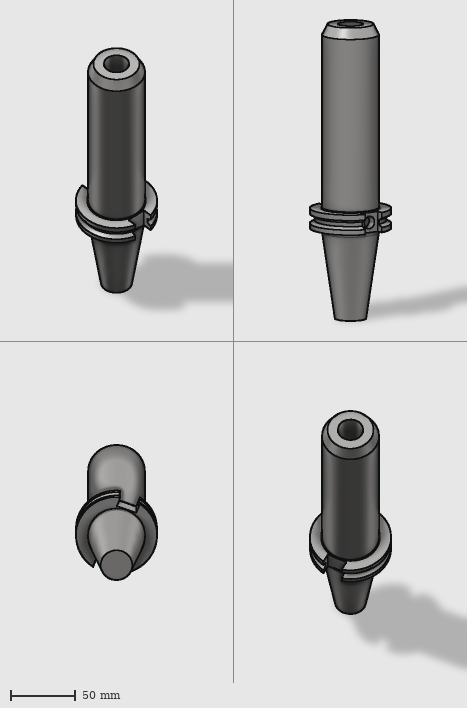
import cadquery as cq
import math

total_height = 233.4
taper_height = 68.4
flange_bottom = 71.6
flange_top = 87.5
nose_chamfer_height = 8.5

gauge_diameter = 44.5
body_diameter = 44.5
nose_diameter = 36.0
root_diameter = 46.0
flange_diameter = 63.5
groove_diameter = 56.0
taper_ratio = 7 / 24

root_height = 0.7

groove_center = 79.3
groove_floor_width = 3.3
groove_wall_angle = math.radians(30)

slot_width = 16.0
left_slot_floor = 25.0
right_slot_floor = 22.9

bore_diameter = 19.5
bore_depth = 70.0
dimple_diameter = 9.8
dimple_depth = 7.0


def make_holder_body():
    """Revolve taper, grooved flange and cylindrical body as one profile."""
    gauge_radius = gauge_diameter / 2
    body_radius = body_diameter / 2
    flange_radius = flange_diameter / 2
    groove_radius = groove_diameter / 2
    small_end_radius = gauge_radius - taper_height * taper_ratio / 2
    half_floor = groove_floor_width / 2
    half_mouth = half_floor + (flange_radius - groove_radius) * math.tan(groove_wall_angle)
    profile = [
        (0, 0),
        (small_end_radius, 0),
        (gauge_radius, taper_height),
        (gauge_radius, flange_bottom),
        (flange_radius, flange_bottom),
        (flange_radius, groove_center - half_mouth),
        (groove_radius, groove_center - half_floor),
        (groove_radius, groove_center + half_floor),
        (flange_radius, groove_center + half_mouth),
        (flange_radius, flange_top),
        (root_diameter / 2, flange_top),
        (body_radius, flange_top + root_height),
        (body_radius, total_height - nose_chamfer_height),
        (nose_diameter / 2, total_height),
        (0, total_height),
    ]
    return cq.Workplane("XZ").polyline(profile).close().revolve(360, (0, 0), (0, 1))


def make_drive_slot(side, floor_distance):
    """Block that opens the flange outward from the slot floor; side is -1 or 1 along X."""
    slot_length = flange_diameter / 2
    return cq.Workplane("XY").box(
        slot_length, slot_width, flange_top - flange_bottom, centered=(True, True, False)
    ).translate((side * (floor_distance + slot_length / 2), 0, flange_bottom))


def make_bore():
    return (
        cq.Workplane("XY", origin=(0, 0, total_height - bore_depth))
        .circle(bore_diameter / 2)
        .extrude(bore_depth)
    )


def make_dimple():
    flange_middle = (flange_bottom + flange_top) / 2
    return (
        cq.Workplane("YZ", origin=(-left_slot_floor, 0, flange_middle))
        .circle(dimple_diameter / 2)
        .extrude(dimple_depth)
    )


result = (
    make_holder_body()
    .cut(make_drive_slot(-1, left_slot_floor))
    .cut(make_drive_slot(1, right_slot_floor))
    .cut(make_bore())
    .cut(make_dimple())
)